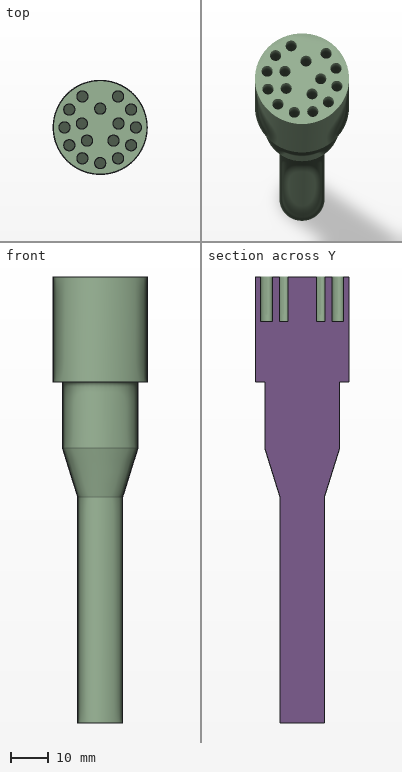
import cadquery as cq
import math

total_length = 118.5
head_diameter = 25.0
head_length = 28.0
collar_diameter = 20.0
collar_length = 17.5
cone_length = 12.9
stem_diameter = 12.0

hole_diameter = 3.0
hole_depth = 11.8
outer_ring_radius = 9.5
outer_pitch_angle = 30
key_angle = 90
inner_ring_radius = 5.0
inner_hole_angles = [-135, -45, 12, 90, 168]

head_bottom = total_length - head_length
collar_bottom = head_bottom - collar_length
cone_bottom = collar_bottom - cone_length


def make_body():
    """Revolve the half profile of the connector about Z."""
    profile = [
        (0, 0),
        (stem_diameter / 2, 0),
        (stem_diameter / 2, cone_bottom),
        (collar_diameter / 2, collar_bottom),
        (collar_diameter / 2, head_bottom),
        (head_diameter / 2, head_bottom),
        (head_diameter / 2, total_length),
        (0, total_length),
    ]
    return cq.Workplane("XZ").polyline(profile).close().revolve(360, (0, 0, 0), (0, 1, 0))


def ring_points(radius, angles):
    """Points on a circle about the axis, at angles in degrees from +X."""
    return [
        (radius * math.cos(math.radians(angle)), radius * math.sin(math.radians(angle)))
        for angle in angles
    ]


def make_contact_holes():
    """Blind holes sunk from the head face, on two rings."""
    outer_angles = [angle for angle in range(0, 360, outer_pitch_angle) if angle != key_angle]
    centers = ring_points(outer_ring_radius, outer_angles)
    centers += ring_points(inner_ring_radius, inner_hole_angles)
    face = cq.Workplane("XY").workplane(offset=total_length)
    return face.pushPoints(centers).circle(hole_diameter / 2).extrude(-hole_depth)


result = make_body().cut(make_contact_holes())